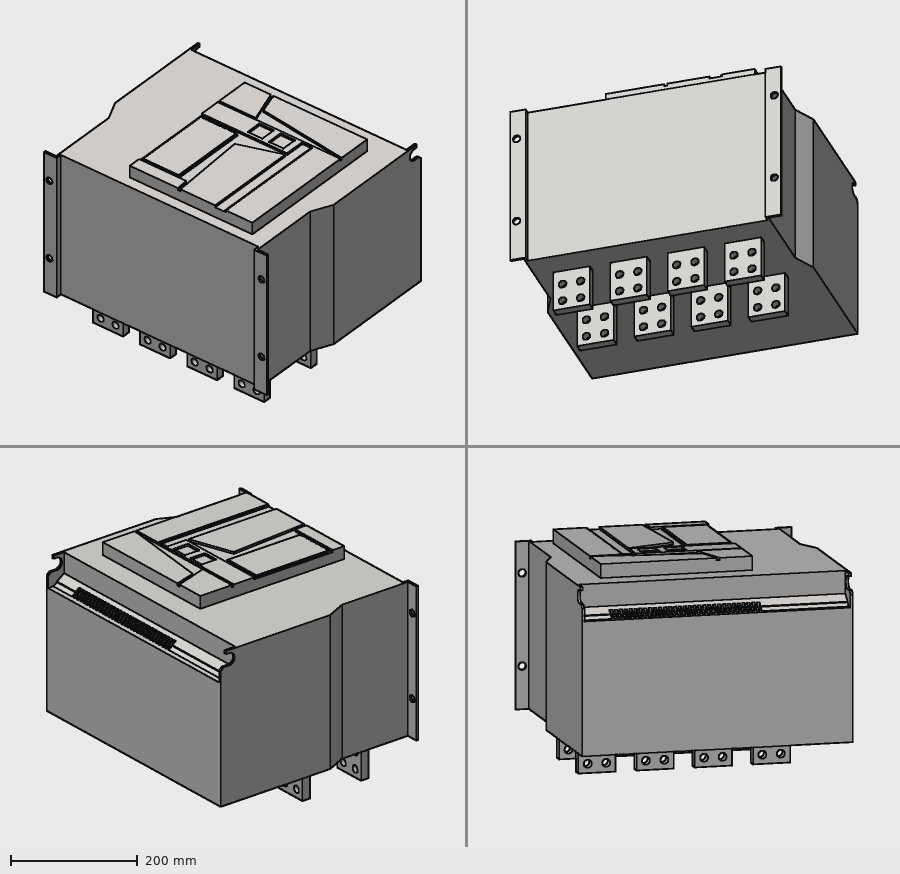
import cadquery as cq


length = 394.0
body_height = 270.0
sheet = 4.0
flange_half_width = 225.0
narrow_half_width = 203.5
wide_half_width = 221.0
front_face_y = 11.0
knee_front_y = 136.5
knee_rear_y = 174.0

flange_hole_d = 12.0
flange_hole_x = 214.0
flange_hole_heights = (69.5, 219.0)

step_y = 362.2
slope_start_z = 233.0
slope_break_y = 376.5
ledge_y = 384.0
slope_drop_per_length = 0.7
break_drop = 1.5

vent_count = 31
vent_pitch = 8.0
vent_width = 4.5
vent_front_y = 369.5

notch_radius = 11.0
notch_z = 254.0
notch_floor_y = 366.5
prong_tip_y = 383.5
lead_in = 5.5

bar_count = 4
bar_pitch = 95.0
bar_width = 60.8
bar_thickness = 15.5
bar_length = 69.5
bar_front_faces = (58.5, 176.5)
bar_hole_d = 12.5
bar_hole_pitch = 30.0
bar_hole_mid_z = -39.0

panel_left = -76.5
panel_width = 247.5
panel_front = 31.0
panel_depth = 290.0
panel_base = 19.0
relief = 3.5
draft_angle = 1.0
ledge_width = 2.2
panel_right = panel_left + panel_width
panel_rear = panel_front + panel_depth
panel_base_z = body_height + panel_base
panel_top_z = panel_base_z + relief


def box(x0, x1, y0, y1, z0, z1):
    return cq.Workplane("XY").box(x1 - x0, y1 - y0, z1 - z0, centered=False).translate((x0, y0, z0))


def prism(points, z0, height, draft=0):
    return cq.Workplane("XY", origin=(0, 0, z0)).polyline(points).close().extrude(height, taper=draft)


def make_housing():
    inner_half_width = narrow_half_width - sheet
    right_side = [
        (inner_half_width, front_face_y),
        (inner_half_width, 0),
        (flange_half_width, 0),
        (flange_half_width, sheet),
        (narrow_half_width, sheet),
        (narrow_half_width, knee_front_y),
        (wide_half_width, knee_rear_y),
        (wide_half_width, length),
    ]
    left_side = [(-x, y) for x, y in reversed(right_side)]
    return prism(right_side + left_side, 0, body_height)


def cut_flange_holes(body):
    points = [(side * flange_hole_x, z) for side in (-1, 1) for z in flange_hole_heights]
    holes = cq.Workplane("XZ").pushPoints(points).circle(flange_hole_d / 2).extrude(-sheet)
    return body.cut(holes)


def cut_rear_step(body):
    """Drop the rear of the housing to a sloped shoulder and a flat ledge."""
    inner_half_width = wide_half_width - sheet
    break_z = slope_start_z - slope_drop_per_length * (slope_break_y - step_y)
    lower_z = break_z - break_drop
    ledge_z = lower_z - slope_drop_per_length * (ledge_y - slope_break_y)
    profile = [
        (step_y, body_height),
        (step_y, slope_start_z),
        (slope_break_y, break_z),
        (slope_break_y, lower_z),
        (ledge_y, ledge_z),
        (length, ledge_z),
        (length, body_height),
    ]
    step = cq.Workplane("YZ").polyline(profile).close().extrude(inner_half_width, both=True)
    body = body.cut(step)

    panel_mid_x = panel_left + panel_width / 2
    for i in range(vent_count):
        x = panel_mid_x + (i - (vent_count - 1) / 2) * vent_pitch
        slot = box(x - vent_width / 2, x + vent_width / 2, vent_front_y, ledge_y, ledge_z, slope_start_z)
        body = body.cut(slot)
    return body


def cut_hook_notches(body):
    """Open a round-ended notch, with a shorter prong above it, at the rear of both side plates."""
    top_z = notch_z + notch_radius
    bottom_z = notch_z - notch_radius
    arc_start_y = notch_floor_y + notch_radius
    notch = (
        cq.Workplane("YZ")
        .moveTo(length, body_height)
        .lineTo(prong_tip_y, body_height)
        .lineTo(prong_tip_y, top_z)
        .lineTo(arc_start_y, top_z)
        .threePointArc((notch_floor_y, notch_z), (arc_start_y, bottom_z))
        .lineTo(length - lead_in, bottom_z)
        .lineTo(length, bottom_z - lead_in)
        .close()
        .extrude(wide_half_width, both=True)
    )
    return body.cut(notch)


def make_busbar(x, y):
    bar = box(x - bar_width / 2, x + bar_width / 2, y, y + bar_thickness, -bar_length, 0)
    holes = (
        cq.Workplane("XZ", origin=(x, y, bar_hole_mid_z))
        .rarray(bar_hole_pitch, bar_hole_pitch, 2, 2)
        .circle(bar_hole_d / 2)
        .extrude(-bar_thickness)
    )
    return bar.cut(holes)


def add_busbars(body):
    for y in bar_front_faces:
        for i in range(bar_count):
            body = body.union(make_busbar((i - (bar_count - 1) / 2) * bar_pitch, y))
    return body


def make_panel():
    """Flat panel with raised, slightly drafted fields divided by grooves of equal depth."""
    upper_edge = 256.5
    band_top = 253.5
    band_bottom = 212.5
    channel_left = 96.0
    channel_right = 117.0
    channel_end = 251.0
    channel_corner = 2.5

    panel = box(panel_left, panel_right, panel_front, panel_rear, body_height, panel_base_z)

    def raised(points):
        return prism(points, panel_base_z, relief, draft_angle)

    panel = panel.union(raised([
        (panel_left, upper_edge),
        (-2.5, upper_edge),
        (-23.5, panel_rear),
        (panel_left, panel_rear),
    ]))
    panel = panel.union(raised([
        (-18.5, panel_rear),
        (-6.5, 280.5),
        (panel_right, upper_edge),
        (panel_right, panel_rear),
    ]))

    panel = panel.union(raised([
        (panel_left, band_top),
        (panel_left, band_bottom),
        (channel_left, band_bottom),
        (channel_left, panel_front),
        (panel_right, panel_front),
        (panel_right, band_top),
    ]))

    channel = box(channel_left, channel_right, panel_front, channel_end, panel_base_z, panel_top_z)
    channel = channel.edges("|Z and >Y").fillet(channel_corner)
    channel_ledge = box(
        channel_right - ledge_width, channel_right, panel_front, channel_end - channel_corner,
        panel_base_z, panel_base_z + relief / 2,
    )
    panel = panel.cut(channel).union(channel_ledge)

    button_size = 29.2
    button_front = 219.0
    for button_left in (11.2, 54.0):
        panel = panel.cut(box(
            button_left, button_left + button_size, button_front, button_front + button_size,
            panel_base_z, panel_top_z,
        ))

    plate_left = -73.0
    plate_right = 2.0
    plate_front = 59.5
    plate_rear = 205.0
    panel = panel.union(raised([
        (plate_left, plate_front),
        (plate_right - ledge_width, plate_front),
        (plate_right - ledge_width, plate_rear),
        (plate_left, plate_rear),
    ]))
    panel = panel.union(box(
        plate_left, plate_right, plate_front, plate_rear, panel_base_z, panel_base_z + relief / 2,
    ))

    panel = panel.union(raised([
        (channel_left, panel_front),
        (channel_left, 208.0),
        (15.5, 181.0),
        (25.5, panel_front),
    ]))

    corner_field_rear = 54.5
    return panel.union(raised([
        (panel_left, panel_front),
        (20.5, panel_front),
        (19.0, corner_field_rear),
        (panel_left, corner_field_rear),
    ]))


result = make_housing()
result = cut_flange_holes(result)
result = cut_rear_step(result)
result = cut_hook_notches(result)
result = add_busbars(result)
result = result.union(make_panel()).solids()